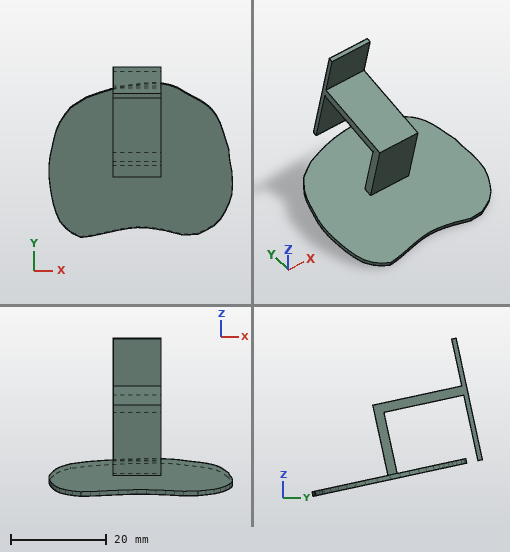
import cadquery as cq

TILT = 12.2

BASE_THICKNESS = 1.0

STRAP_WIDTH = 10.0
STRAP_THICKNESS = 2.0
POST_TOP = 16.0
ARM_REACH = 20.0

BACK_PLATE_THICKNESS = 1.0
BACK_PLATE_HEIGHT = 26.0

BASE_CORNERS = [
    (-11.7, -36.2), (-9.75, -35.95), (-7.8, -35.55), (-5.85, -35.1), (-3.9, -34.65), (-1.95, -34.3),
    (0.0, -34.1), (2.0, -34.15), (3.95, -34.4), (5.9, -34.75), (7.85, -35.25), (9.65, -35.7),
    (12.7, -35.5), (14.4, -34.65), (16.05, -33.7), (17.45, -32.3), (18.4, -30.65), (19.25, -28.8),
    (19.8, -26.9), (19.93, -24.9), (19.8, -22.4), (19.3, -19.6), (19.15, -17.5), (18.5, -15.5),
    (17.9, -13.5), (17.35, -11.9), (16.55, -10.3), (15.7, -9.1), (14.7, -8.1), (13.3, -7.1),
    (11.7, -6.25), (10.1, -5.35), (8.5, -4.35), (6.9, -3.75), (5.2, -3.4), (3.2, -3.35),
    (0.5, -3.55), (-2.5, -3.95), (-5.5, -4.65), (-8.0, -5.45), (-10.5, -6.35), (-12.0, -7.3),
    (-13.85, -8.5), (-14.95, -9.9), (-16.15, -11.75), (-16.9, -13.5), (-17.4, -15.4), (-17.8, -17.3),
    (-18.2, -19.2), (-18.41, -21.1), (-18.41, -23.1), (-18.2, -25.1), (-17.9, -27.1), (-17.5, -29.0),
    (-16.95, -30.9), (-16.15, -32.75), (-14.9, -34.25), (-13.5, -35.35),
]


def make_base():
    return cq.Workplane("XY").polyline(BASE_CORNERS).close().extrude(BASE_THICKNESS)


def strap_block(y_front, y_back, z_bottom, z_top):
    """Block across the strap's full width, between the given Y and Z limits."""
    return (
        cq.Workplane("XY")
        .box(STRAP_WIDTH, y_back - y_front, z_top - z_bottom, centered=(True, False, False))
        .translate((0, y_front, z_bottom))
    )


def make_strap():
    post = strap_block(-ARM_REACH, STRAP_THICKNESS - ARM_REACH, 0, POST_TOP)
    arm = strap_block(-ARM_REACH, 0, POST_TOP - STRAP_THICKNESS, POST_TOP)
    back_plate = strap_block(-BACK_PLATE_THICKNESS, 0, 0, BACK_PLATE_HEIGHT)
    return post.union(arm).union(back_plate)


upright_stand = make_base().union(make_strap())
result = upright_stand.rotate((0, 0, 0), (1, 0, 0), TILT)